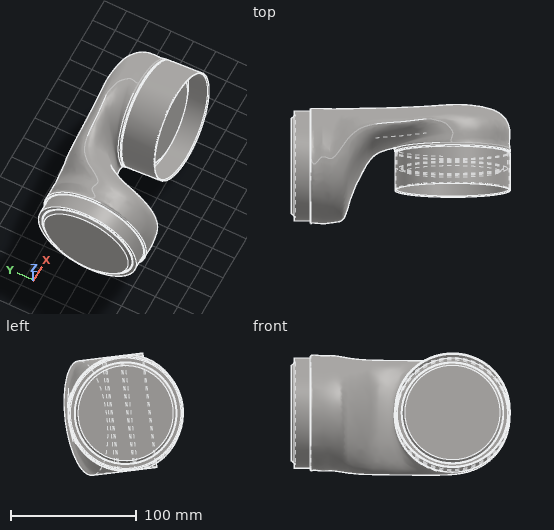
import cadquery as cq

tube_radius = 46.0
roll_angle = -7.0
inlet_seam_x = 14.8
outlet_x = 128.38
outlet_seam_y = 10.5

spigot_radius = 44.0
nose_height = 2.3
nose_face_radius = 37.9
nose_base_radius = 40.1
groove_width = 0.75
groove_depth = 1.0
collar_bevel = 1.0
outlet_collar_length = 2.9

sleeve_length = 30.0
sleeve_wall = 1.0
mouth_bevel_length = 1.0
mouth_bevel_width = 0.6

elbow_start_x = inlet_seam_x + collar_bevel
elbow_end_y = outlet_seam_y + outlet_collar_length

stations = [
    ((elbow_start_x, 0.0), (elbow_start_x, -tube_radius), tube_radius),
    ((22.5, 0.0), (22.5, -45.9), 45.9),
    ((29.5, 0.6), (29.5, -45.6), 45.1),
    ((36.0, 3.6), (36.0, -44.9), 42.0),
    ((44.0, 14.9), (44.0, -37.5), 30.7),
    ((50.6, 21.6), (50.6, -17.2), 24.0),
    ((58.5, 26.0), (58.5, -1.2), 19.7),
    ((67.7, 28.2), (64.7, 7.8), 17.7),
    ((85.0, 29.7), (75.0, 13.8), 19.9),
    ((96.0, 30.8), (78.3, 14.7), 24.8),
    ((105.8, 32.1), (80.4, 15.15), 29.6),
    ((115.6, 31.2), (81.3, 15.0), 37.8),
    ((120.3, 29.9), (81.65, 14.9), 42.2),
    ((124.4, 27.4), (81.9, 14.75), 45.6),
    ((127.6, 23.6), (82.15, 14.5), 46.6),
    ((outlet_x, 19.0), (82.3, 14.1), 46.0),
    ((outlet_x, elbow_end_y), (outlet_x - tube_radius, elbow_end_y), tube_radius),
]


def elbow_section(ridge, inner, outer_reach):
    """Closed outline of two half ellipses that meet at the top and bottom ridges."""
    outward = cq.Vector(ridge[0] - inner[0], ridge[1] - inner[1], 0)
    normal = outward.cross(cq.Vector(0, 0, 1))
    center = cq.Vector(*ridge)
    halves = [
        cq.Edge.makeEllipse(reach, tube_radius, center, normal, outward, start_angle, start_angle + 180)
        for reach, start_angle in ((outer_reach, -90), (outward.Length, 90))
    ]
    return cq.Wire.assembleEdges(halves)


def make_elbow():
    sections = [elbow_section(*station) for station in stations]
    return cq.Workplane(cq.occ_impl.shapes.loft(*sections, cap=True, compat=False, parametrization="chordal"))


def make_spigot():
    """Spigot and bevelled collar along X with the nose face at x = 0."""
    outline = (
        cq.Workplane("XY")
        .lineTo(0, nose_face_radius)
        .lineTo(nose_height, nose_base_radius)
        .lineTo(nose_height + groove_depth, nose_base_radius)
        .lineTo(nose_height + groove_depth, nose_base_radius + groove_width)
        .lineTo(nose_height, nose_base_radius + groove_width)
        .lineTo(nose_height, spigot_radius)
        .lineTo(inlet_seam_x, spigot_radius)
        .lineTo(inlet_seam_x, tube_radius - collar_bevel)
        .lineTo(elbow_start_x, tube_radius)
        .lineTo(elbow_start_x, 0)
        .close()
    )
    return outline.revolve(360, (0, 0, 0), (1, 0, 0))


def make_body():
    spigot = make_spigot()
    outlet_offset = (outlet_x, outlet_seam_y - inlet_seam_x, 0)
    outlet_spigot = spigot.rotate((0, 0, 0), (0, 0, 1), 90).translate(outlet_offset)
    outlet_collar = (
        cq.Workplane("XZ", origin=(outlet_x, elbow_end_y, 0))
        .circle(tube_radius)
        .extrude(outlet_collar_length - collar_bevel)
    )
    return make_elbow().union(spigot).union(outlet_collar).union(outlet_spigot)


def make_sleeve():
    outlet_plane = cq.Workplane("XZ", origin=(outlet_x, outlet_seam_y, 0))
    tube = outlet_plane.circle(tube_radius).circle(tube_radius - sleeve_wall).extrude(sleeve_length)
    mouth_edge = tube.faces("<Y").edges(cq.selectors.RadiusNthSelector(0))
    return mouth_edge.chamfer(mouth_bevel_length, mouth_bevel_width)


def roll(part):
    return part.rotate((0, 0, 0), (1, 0, 0), roll_angle)


body = roll(make_body())
sleeve = roll(make_sleeve())
result = cq.Compound.makeCompound([*body.solids().vals(), *sleeve.solids().vals()])